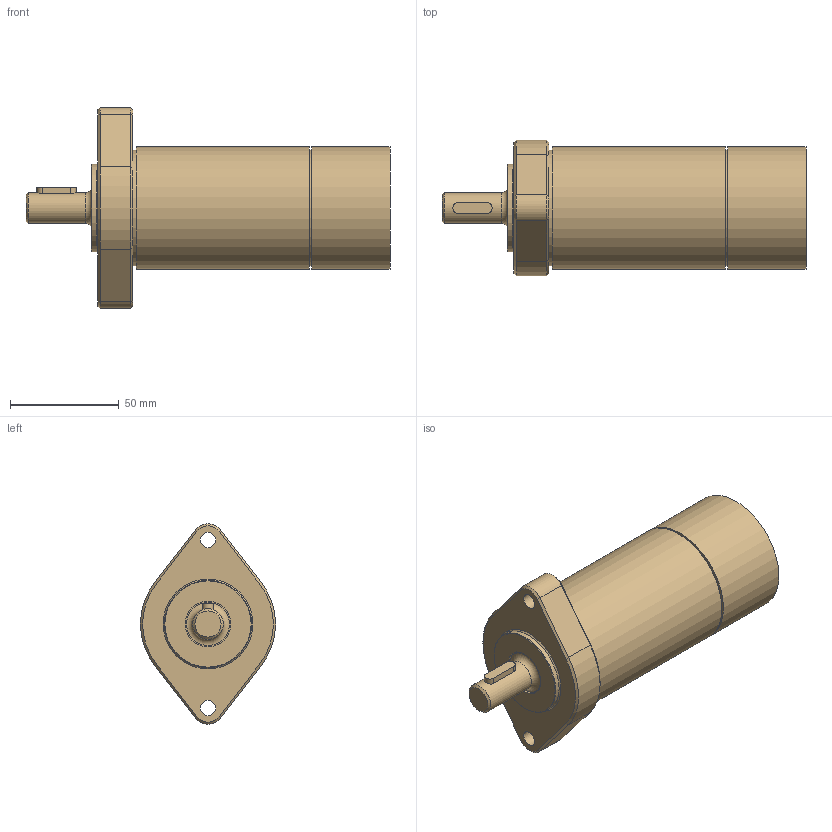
import cadquery as cq
import math

overall_length = 167.0

shaft_diameter = 14.0
shaft_end_chamfer = 1.0
flare_start = 27.3
collar_diameter = 19.85

pilot_face = 30.0
pilot_diameter = 40.0
pilot_chamfer = 0.2
pilot_base_flare = 0.6
recess_diameter = 21.0
recess_depth = 1.0

flange_front = 33.0
flange_rear = 49.0
flange_chamfer = 1.0
flange_diameter = 62.0
hole_offset = 38.5
hole_diameter = 7.0
ear_radius = 7.5

body_diameter = 56.0
body_start = 50.5
groove_diameter = 52.94
groove_start = 130.0
groove_width = 1.0

key_start = 5.0
key_length = 18.0
key_width = 5.0
key_top = 9.5
key_bottom = 4.5


def cylinder(start, end, diameter):
    """Cylinder on the X axis between two stations."""
    return cq.Workplane("YZ", origin=(start, 0, 0)).circle(diameter / 2).extrude(end - start)


def make_shaft():
    """Chamfered shaft whose root flares through a quarter-round fillet into a collar."""
    shaft_radius = shaft_diameter / 2
    collar_radius = collar_diameter / 2
    flare_radius = collar_radius - shaft_radius
    flare_end = flare_start + flare_radius
    flare_middle = (
        flare_start + flare_radius * math.sin(math.pi / 4),
        collar_radius - flare_radius * math.cos(math.pi / 4),
    )
    return (
        cq.Workplane("XY")
        .moveTo(0, 0)
        .lineTo(0, shaft_radius - shaft_end_chamfer)
        .lineTo(shaft_end_chamfer, shaft_radius)
        .lineTo(flare_start, shaft_radius)
        .threePointArc(flare_middle, (flare_end, collar_radius))
        .lineTo(flange_front, collar_radius)
        .lineTo(flange_front, 0)
        .close()
        .revolve(360, (0, 0, 0), (1, 0, 0))
    )


def make_key():
    """Round-ended parallel key standing proud of the top of the shaft."""
    return (
        cq.Workplane("XY", origin=(key_start + key_length / 2, 0, key_bottom))
        .slot2D(key_length, key_width)
        .extrude(key_top - key_bottom)
    )


def make_flange():
    """Central disc joined to two ears by common tangent lines, with chamfered rims."""
    disc_radius = flange_diameter / 2
    tangent_angle = math.asin((disc_radius - ear_radius) / hole_offset)
    normal_y = math.cos(tangent_angle)
    normal_z = math.sin(tangent_angle)
    disc_y = disc_radius * normal_y
    disc_z = disc_radius * normal_z
    ear_y = ear_radius * normal_y
    ear_z = hole_offset + ear_radius * normal_z
    tip_z = hole_offset + ear_radius
    return (
        cq.Workplane("YZ", origin=(flange_front, 0, 0))
        .moveTo(disc_y, -disc_z)
        .threePointArc((disc_radius, 0), (disc_y, disc_z))
        .lineTo(ear_y, ear_z)
        .threePointArc((0, tip_z), (-ear_y, ear_z))
        .lineTo(-disc_y, disc_z)
        .threePointArc((-disc_radius, 0), (-disc_y, -disc_z))
        .lineTo(-ear_y, -ear_z)
        .threePointArc((0, -tip_z), (ear_y, -ear_z))
        .close()
        .extrude(flange_rear - flange_front)
        .faces("<X or >X")
        .edges()
        .chamfer(flange_chamfer)
    )


def make_pilot():
    """Pilot boss with a chamfered front edge and a 45-degree flare at its base."""
    pilot_radius = pilot_diameter / 2
    return (
        cq.Workplane("XY")
        .moveTo(pilot_face, 0)
        .lineTo(pilot_face, pilot_radius - pilot_chamfer)
        .lineTo(pilot_face + pilot_chamfer, pilot_radius)
        .lineTo(flange_front - pilot_base_flare, pilot_radius)
        .lineTo(flange_front, pilot_radius + pilot_base_flare)
        .lineTo(flange_front, 0)
        .close()
        .revolve(360, (0, 0, 0), (1, 0, 0))
    )


def make_mount():
    """Flange with its pilot boss, shaft recess and mounting holes."""
    recess = cylinder(pilot_face, pilot_face + recess_depth, recess_diameter)
    mount = make_flange().union(make_pilot()).cut(recess)
    for side in (-1, 1):
        hole = cylinder(flange_front, flange_rear, hole_diameter)
        mount = mount.cut(hole.translate((0, 0, side * hole_offset)))
    return mount


def make_body():
    """Housing with a narrow neck behind the flange and a groove between its sections."""
    groove_end = groove_start + groove_width
    front_section = cylinder(body_start, groove_start, body_diameter)
    rear_section = cylinder(groove_end, overall_length, body_diameter)
    core = cylinder(flange_rear, overall_length, groove_diameter)
    return core.union(front_section).union(rear_section)


result = make_mount().union(make_body()).union(make_shaft()).union(make_key())